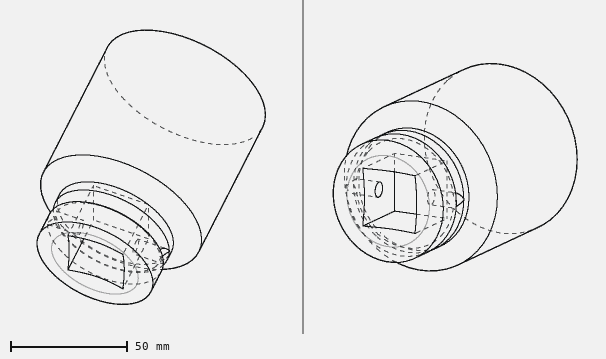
import cadquery as cq

length = 100.0
body_radius = 37.5
neck_radius = 27.0
neck_length = 22.8
body_start = 29.0

groove_position = 14.9
groove_width = 6.6
groove_depth = 2.7
pin_diameter = 6.6

drive_side = 25.6
drive_depth = 29.0
lead_in_radius = 20.2
lead_in_depth = 2.1
lead_in_end_radius = drive_side / 2


def revolve_about_y(profile):
    return profile.close().revolve(360, (0, 0, 0), (0, 1, 0))


def outer_body():
    """Neck with a round groove, shoulder cone and cylindrical body."""
    profile = (
        cq.Workplane("XY")
        .lineTo(neck_radius, 0)
        .lineTo(neck_radius, groove_position - groove_width / 2)
        .threePointArc(
            (neck_radius - groove_depth, groove_position),
            (neck_radius, groove_position + groove_width / 2),
        )
        .lineTo(neck_radius, neck_length)
        .lineTo(body_radius, body_start)
        .lineTo(body_radius, length)
        .lineTo(0, length)
    )
    return revolve_about_y(profile)


def lead_in():
    """Cone that opens the mouth of the square drive."""
    profile = (
        cq.Workplane("XY")
        .lineTo(lead_in_radius, 0)
        .lineTo(lead_in_end_radius, lead_in_depth)
        .lineTo(0, lead_in_depth)
    )
    return revolve_about_y(profile)


def square_drive():
    return cq.Workplane("XY").box(
        drive_side, drive_depth, drive_side, centered=(True, False, True)
    )


def pin_hole():
    return (
        cq.Workplane("YZ")
        .center(groove_position, 0)
        .circle(pin_diameter / 2)
        .extrude(neck_radius, both=True)
    )


result = outer_body().cut(lead_in()).cut(square_drive()).cut(pin_hole())